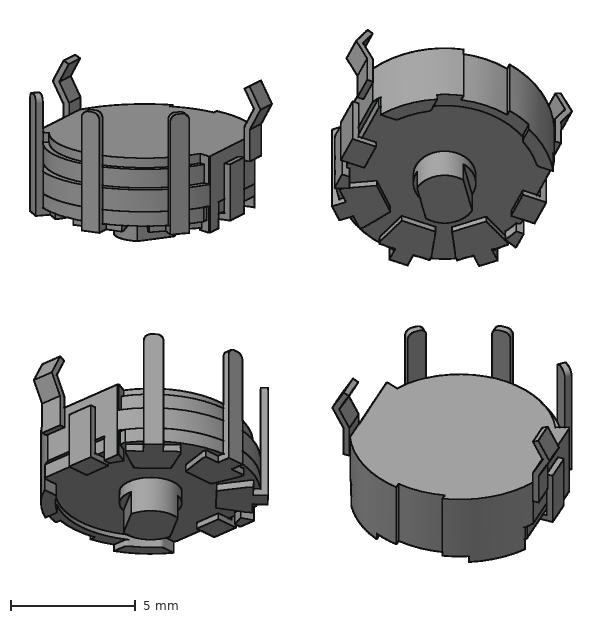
import cadquery as cq
import math

FLAT_TOP_Z = 1.0
LEG_BOTTOM_Z = 1.0
PIN_BOTTOM_Z = 1.2
TAB_BOTTOM_Z = 1.23
REAR_WALL_BOTTOM_Z = 1.29
BASE_BOTTOM_Z = 1.5
BASE_TOP_Z = 2.1
LOWER_STEP_Z = 3.01
UPPER_STEP_Z = 3.78
COVER_TOP_Z = 4.17

OUTER_R = 4.4
FLAT_X = 3.96
LOWER_STEP_R = 4.1
UPPER_STEP_R = 3.84

CUT_APEX_Y = -0.3
CUT_ANGLE = 23.1
REACH = 2 * OUTER_R

WALL_INNER_R = 3.82
WINDOW_FRONT_Y = -1.18
WINDOW_REAR_Y = 2.28
REAR_GAP_X = 1.99
LEG_FILLET = 0.2
NOTCH_HALF_WIDTH = 1.0
NOTCH_R = 4.16

STRIP_THICKNESS = 0.26
STRIP_OUTER_X = FLAT_X + STRIP_THICKNESS
CLIP_FRONT_Y = 1.0
CLIP_WIDTH = 1.0
CLIP_BOTTOM_Z = 3.28
CLIP_BEND_Z = 4.61
CLIP_TOP_Z = 6.4
CLIP_SLOPE = 28.5
CLIP_REACH_X = 4.7
TAB_FRONT_Y = -0.705
TAB_WIDTH = 1.2
TAB_TOP_Z = 3.57
TAB_FOOT_INNER_X = 3.2

BASE_FLAT_X = 3.81
BASE_CORNER_FILLET = 0.13

PIN_ANGLES = (-135, -90, -45)
PIN_WIDTH = 0.8
PIN_THICKNESS = 0.3
PIN_TOP_Z = 6.185
PIN_TIP_FILLET = 0.3
PIN_FOOT_WIDTH = 2.2
PIN_FOOT_OUTER_R = LOWER_STEP_R
PIN_FOOT_STRAIGHT = 0.18
PIN_FOOT_INNER_R = 2.63

SHAFT_D = 2.5
SHAFT_ACROSS_FLATS = 1.9
SHAFT_FLAT_ANGLE = -35.7


def disc(radius, bottom_z, top_z):
    return cq.Workplane("XY").workplane(offset=bottom_z).circle(radius).extrude(top_z - bottom_z)


def block(x_min, x_max, y_min, y_max, z_min, z_max):
    size = (x_max - x_min, y_max - y_min, z_max - z_min)
    return cq.Workplane("XY").box(*size, centered=False).translate((x_min, y_min, z_min))


def flatted_disc(flat_x, bottom_z, top_z):
    """Outer disc with two flat sides, each flat_x away from the axis."""
    slab = block(-flat_x, flat_x, -REACH, REACH, bottom_z, top_z)
    return disc(OUTER_R, bottom_z, top_z).intersect(slab)


def front_zone(bottom_z, top_z):
    """Everything in front of the two cut planes."""
    side_y = CUT_APEX_Y - REACH * math.tan(math.radians(CUT_ANGLE))
    outline = [(0, CUT_APEX_Y), (REACH, side_y), (REACH, -REACH), (-REACH, -REACH), (-REACH, side_y)]
    return cq.Workplane("XY").workplane(offset=bottom_z).polyline(outline).close().extrude(top_z - bottom_z)


def mirrored_pair(right_side):
    return right_side.union(right_side.mirror("YZ"))


def make_cover_wall():
    """Rear wall and four legs that surround the base."""
    wall = flatted_disc(FLAT_X, LEG_BOTTOM_Z, BASE_TOP_Z)
    wall = wall.cut(disc(WALL_INNER_R, LEG_BOTTOM_Z, BASE_TOP_Z))
    wall = wall.cut(front_zone(LEG_BOTTOM_Z, BASE_TOP_Z))
    wall = wall.cut(block(-REACH, REACH, WINDOW_FRONT_Y, WINDOW_REAR_Y, LEG_BOTTOM_Z, BASE_TOP_Z))
    rear_gap = block(-REAR_GAP_X, REAR_GAP_X, 0, REACH, LEG_BOTTOM_Z, REAR_WALL_BOTTOM_Z)
    return wall.cut(rear_gap)


def round_corner_pair(body, x, y, radius):
    """Round the upright edges at (x, y) and (-x, y)."""
    margin = 0.05
    for side_x in (-x, x):
        low = (side_x - margin, y - margin, 0)
        high = (side_x + margin, y + margin, COVER_TOP_Z)
        body = body.edges("|Z").edges(cq.selectors.BoxSelector(low, high)).fillet(radius)
    return body


def round_rear_legs(wall):
    """Round the inner upright edges of the rear legs."""
    front_edge_x = math.sqrt(WALL_INNER_R**2 - WINDOW_REAR_Y**2)
    back_edge_y = math.sqrt(WALL_INNER_R**2 - REAR_GAP_X**2)
    wall = round_corner_pair(wall, front_edge_x, WINDOW_REAR_Y, LEG_FILLET)
    return round_corner_pair(wall, REAR_GAP_X, back_edge_y, LEG_FILLET)


def make_clip():
    """Bent spring clip on the right side."""
    slope = math.radians(CLIP_SLOPE)
    inner_shift = STRIP_THICKNESS * math.tan(slope / 2)
    elbow_z = CLIP_BEND_Z + (CLIP_REACH_X - STRIP_OUTER_X) / math.tan(slope)
    tip_x = CLIP_REACH_X - (CLIP_TOP_Z - elbow_z) * math.tan(slope)
    profile = [
        (FLAT_X, CLIP_BOTTOM_Z),
        (STRIP_OUTER_X, CLIP_BOTTOM_Z),
        (STRIP_OUTER_X, CLIP_BEND_Z),
        (CLIP_REACH_X, elbow_z),
        (tip_x, CLIP_TOP_Z),
        (tip_x - STRIP_THICKNESS * math.cos(slope), CLIP_TOP_Z - STRIP_THICKNESS * math.sin(slope)),
        (CLIP_REACH_X - STRIP_THICKNESS / math.cos(slope), elbow_z),
        (FLAT_X, CLIP_BEND_Z + inner_shift),
    ]
    plane = cq.Workplane("XZ", origin=(0, CLIP_FRONT_Y, 0))
    return plane.polyline(profile).close().extrude(-CLIP_WIDTH)


def make_tab():
    """Side tab on the right side, folded under the base."""
    rear_y = TAB_FRONT_Y + TAB_WIDTH
    upright = block(FLAT_X, STRIP_OUTER_X, TAB_FRONT_Y, rear_y, TAB_BOTTOM_Z, TAB_TOP_Z)
    foot = block(TAB_FOOT_INNER_X, STRIP_OUTER_X, TAB_FRONT_Y, rear_y, TAB_BOTTOM_Z, BASE_BOTTOM_Z)
    return upright.union(foot)


def make_cover(wall):
    cover = flatted_disc(FLAT_X, BASE_TOP_Z, COVER_TOP_Z)
    for radius, bottom_z in ((LOWER_STEP_R, LOWER_STEP_Z), (UPPER_STEP_R, UPPER_STEP_Z)):
        ring = disc(REACH, bottom_z, COVER_TOP_Z).cut(disc(radius, bottom_z, COVER_TOP_Z))
        cover = cover.cut(ring.intersect(front_zone(bottom_z, COVER_TOP_Z)))
    cover = cover.union(wall)
    notch = block(-NOTCH_HALF_WIDTH, NOTCH_HALF_WIDTH, 0, REACH, 0, COVER_TOP_Z)
    cover = cover.cut(notch.cut(disc(NOTCH_R, 0, COVER_TOP_Z)))
    return cover.union(mirrored_pair(make_clip())).union(mirrored_pair(make_tab()))


def make_base(wall):
    """Plate that fits inside the cover wall, with a hole for the shaft."""
    plate = flatted_disc(BASE_FLAT_X, BASE_BOTTOM_Z, BASE_TOP_Z).cut(wall)
    plate = round_corner_pair(plate, BASE_FLAT_X, WINDOW_FRONT_Y, BASE_CORNER_FILLET)
    return plate.cut(disc(SHAFT_D / 2, BASE_BOTTOM_Z, BASE_TOP_Z))


def make_pin(angle):
    """Terminal made along +X, with a foot under the base, then turned to its angle."""
    half_width = PIN_WIDTH / 2
    pin_outer_r = OUTER_R + PIN_THICKNESS
    upright = block(OUTER_R, pin_outer_r, -half_width, half_width, PIN_BOTTOM_Z, PIN_TOP_Z)
    upright = upright.faces(">Z").edges("|X").fillet(PIN_TIP_FILLET)
    stem = block(PIN_FOOT_OUTER_R, pin_outer_r, -half_width, half_width, PIN_BOTTOM_Z, BASE_BOTTOM_Z)
    half_foot = PIN_FOOT_WIDTH / 2
    shoulder_r = PIN_FOOT_OUTER_R - PIN_FOOT_STRAIGHT
    half_inner = half_foot * PIN_FOOT_INNER_R / shoulder_r
    outline = [
        (PIN_FOOT_OUTER_R, -half_foot),
        (PIN_FOOT_OUTER_R, half_foot),
        (shoulder_r, half_foot),
        (PIN_FOOT_INNER_R, half_inner),
        (PIN_FOOT_INNER_R, -half_inner),
        (shoulder_r, -half_foot),
    ]
    foot = cq.Workplane("XY").workplane(offset=PIN_BOTTOM_Z).polyline(outline).close()
    foot = foot.extrude(BASE_BOTTOM_Z - PIN_BOTTOM_Z)
    return upright.union(stem).union(foot).rotate((0, 0, 0), (0, 0, 1), angle)


def make_shaft():
    """Round shaft with two parallel flats at its free end."""
    half_flats = SHAFT_ACROSS_FLATS / 2
    flats = block(-half_flats, half_flats, -SHAFT_D, SHAFT_D, 0, FLAT_TOP_Z)
    flats = flats.rotate((0, 0, 0), (0, 0, 1), SHAFT_FLAT_ANGLE)
    tip = disc(SHAFT_D / 2, 0, FLAT_TOP_Z).intersect(flats)
    return disc(SHAFT_D / 2, FLAT_TOP_Z, BASE_TOP_Z).union(tip)


cover_wall = round_rear_legs(make_cover_wall())
cover = make_cover(cover_wall)
base = make_base(cover_wall)
pins = [make_pin(angle) for angle in PIN_ANGLES]
shaft = make_shaft()

result = cq.Compound.makeCompound([cover.val(), base.val(), *[pin.val() for pin in pins], shaft.val()])